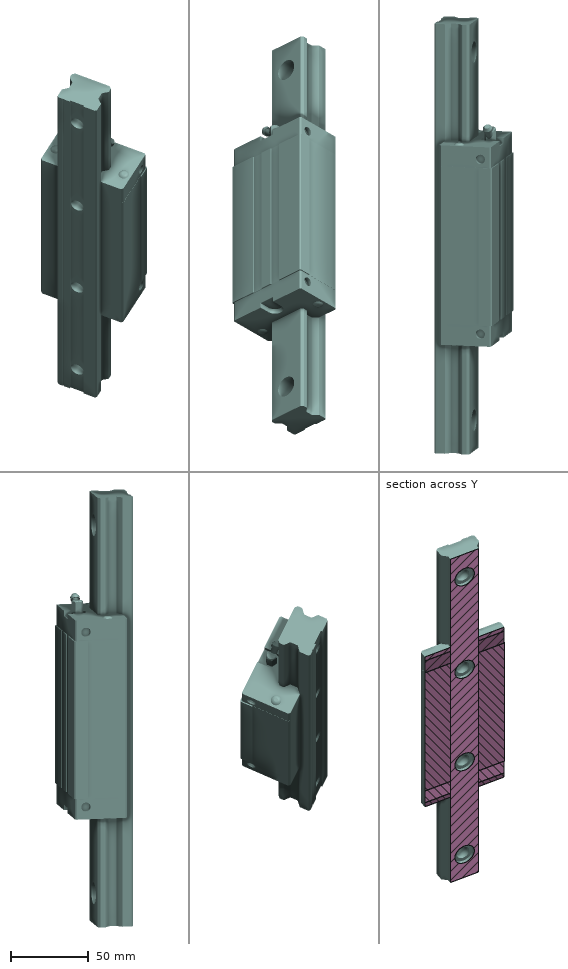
import cadquery as cq
import math

RAIL_LENGTH = 280.0
RAIL_WIDTH = 28.0
RAIL_HEIGHT = 23.0
RAIL_WAIST_WIDTH = 21.0
RAIL_SHOULDER_HEIGHT = 21.4
RAIL_TOP_WIDTH = 24.6
RACE_TOP = 18.3
WAIST_TOP = 15.4
WAIST_BOTTOM = 10.2
BASE_TOP = 7.1
BASE_CHAMFER = 1.0
FLANK_FILLET = 1.3
RELIEF_WIDTH = 9.7
RELIEF_DEPTH = 0.9
MARK_WIDTH = 1.0
MARK_DEPTH = 0.3
MARK_X = -9.5

BOLT_DIAMETER = 9.0
BOLT_HEAD_DIAMETER = 14.0
BOLT_HEAD_DEPTH = 12.0
BOLT_PITCH = 80.0
BOLT_COUNT = 4
FIRST_BOLT_Z = (RAIL_LENGTH - (BOLT_COUNT - 1) * BOLT_PITCH) / 2

CARRIAGE_Z = 138.8
CARRIAGE_LENGTH = 130.0
CARRIAGE_BOTTOM = 7.0
SEAL_THICKNESS = 3.4
CAP_THICKNESS = 10.2
BLOCK_LENGTH = CARRIAGE_LENGTH - 2 * (SEAL_THICKNESS + CAP_THICKNESS)
BLOCK_WIDTH = 60.0
BLOCK_TOP = 42.06
BLOCK_LOWER_WIDTH = 58.8
BLOCK_STEP_HEIGHT = 33.2
CORNER_CHAMFER = 0.8
BOTTOM_CHAMFER = 1.2
END_WIDTH = 58.6
END_TOP = 41.2

TOP_GROOVE_INNER_X = 4.0
TOP_GROOVE_OUTER_X = 11.2
TOP_GROOVE_DEPTH = 0.7

PORT_DIAMETER = 6.0
PORT_DEPTH = 3.0
PORT_HEIGHT = 34.3
PORT_FROM_BLOCK = 5.6

SCREW_DIAMETER = 6.7
SCREW_FLAT_DIAMETER = 2.5
SCREW_HEAD_HEIGHT = 1.1
SCREW_BULGE = 0.25
SCREW_X = 24.3
SCREW_HEIGHT = 19.1

NIPPLE_HEIGHT = 33.7
SEAL_SLOT_WIDTH = 11.0

STEM_WIDTH = 6.7
STEM_HEIGHT = 11.2
STEM_CHAMFER = 1.0
HEAD_TILT = 45.0
HEAD_DIAMETER = 6.0
NECK_DIAMETER = 4.5
TIP_DIAMETER = 3.3
NECK_LENGTH = 9.0
COLLAR_LENGTH = 2.0
TIP_LENGTH = 2.0
HEAD_BASE_Z = 4.0


def rail_body(z0, length):
    """A length of the rail's section, symmetric about X = 0, with rounded flanks."""
    half = RAIL_WIDTH / 2
    waist_half = RAIL_WAIST_WIDTH / 2
    right_side = [
        (half - BASE_CHAMFER, 0),
        (half, BASE_CHAMFER),
        (half, BASE_TOP),
        (waist_half, WAIST_BOTTOM),
        (waist_half, WAIST_TOP),
        (half, RACE_TOP),
        (half, RAIL_SHOULDER_HEIGHT),
        (RAIL_TOP_WIDTH / 2, RAIL_HEIGHT),
    ]
    left_side = [(-x, y) for x, y in reversed(right_side)]
    body = cq.Workplane("XY").polyline(right_side + left_side).close().extrude(length)
    for x, y in [(half, RACE_TOP), (waist_half, WAIST_TOP)]:
        for side in (-1, 1):
            edge = cq.selectors.NearestToPointSelector((side * x, y, length / 2))
            body = body.edges("|Z").edges(edge).fillet(FLANK_FILLET)
    return body.translate((0, 0, z0))


def box_between(x0, x1, y0, y1, z0, z1):
    return cq.Workplane("XY").box(x1 - x0, y1 - y0, z1 - z0, centered=False).translate((x0, y0, z0))


def make_rail():
    rail = rail_body(0, RAIL_LENGTH)
    relief_half = RELIEF_WIDTH / 2
    rail = rail.cut(box_between(-relief_half, relief_half, 0, RELIEF_DEPTH, 0, RAIL_LENGTH))
    mark_start = MARK_X - MARK_WIDTH / 2
    rail = rail.cut(box_between(mark_start, mark_start + MARK_WIDTH, 0, MARK_DEPTH, 0, RAIL_LENGTH))
    bolt_points = [(0, FIRST_BOLT_Z + i * BOLT_PITCH) for i in range(BOLT_COUNT)]
    holes = cq.Workplane("XZ").pushPoints(bolt_points).circle(BOLT_DIAMETER / 2).extrude(-RAIL_HEIGHT)
    head_floor = RAIL_HEIGHT - BOLT_HEAD_DEPTH
    counterbores = (
        cq.Workplane("XZ", origin=(0, head_floor, 0))
        .pushPoints(bolt_points)
        .circle(BOLT_HEAD_DIAMETER / 2)
        .extrude(-BOLT_HEAD_DEPTH)
    )
    return rail.cut(holes).cut(counterbores)


def make_block():
    z0 = CARRIAGE_Z - BLOCK_LENGTH / 2
    z1 = z0 + BLOCK_LENGTH
    lower_half = BLOCK_LOWER_WIDTH / 2
    upper_half = BLOCK_WIDTH / 2
    lower = box_between(-lower_half, lower_half, CARRIAGE_BOTTOM, BLOCK_STEP_HEIGHT, z0, z1)
    lower = lower.faces("<Y").edges("|Z").chamfer(BOTTOM_CHAMFER)
    upper = box_between(-upper_half, upper_half, BLOCK_STEP_HEIGHT, BLOCK_TOP, z0, z1)
    upper = upper.faces(">Y").edges("|Z").chamfer(CORNER_CHAMFER)
    block = lower.union(upper).cut(rail_body(z0, BLOCK_LENGTH))
    groove_floor = BLOCK_TOP - TOP_GROOVE_DEPTH
    groove = box_between(TOP_GROOVE_INNER_X, TOP_GROOVE_OUTER_X, groove_floor, BLOCK_TOP, z0, z1)
    return block.cut(groove).cut(groove.mirror("YZ"))


def end_plate(z0, thickness):
    half = END_WIDTH / 2
    plate = box_between(-half, half, CARRIAGE_BOTTOM, END_TOP, z0, z0 + thickness)
    plate = plate.faces(">Y").edges("|Z").chamfer(CORNER_CHAMFER)
    plate = plate.faces("<Y").edges("|Z").chamfer(BOTTOM_CHAMFER)
    return plate.cut(rail_body(z0, thickness))


def make_cap():
    """Upper end cap, with a port recess in each side."""
    z0 = CARRIAGE_Z + BLOCK_LENGTH / 2
    cap = end_plate(z0, CAP_THICKNESS)
    port = (
        cq.Workplane("YZ", origin=(-END_WIDTH / 2, PORT_HEIGHT, z0 + PORT_FROM_BLOCK))
        .circle(PORT_DIAMETER / 2)
        .extrude(PORT_DEPTH)
    )
    return cap.cut(port).cut(port.mirror("YZ"))


def make_screw_head():
    """Rounded head with a small flat on top, standing on Z = 0."""
    radius = SCREW_DIAMETER / 2
    flat_radius = SCREW_FLAT_DIAMETER / 2
    profile = (
        cq.Workplane("XZ")
        .lineTo(radius, 0)
        .sagittaArc((flat_radius, SCREW_HEAD_HEIGHT), -SCREW_BULGE)
        .lineTo(0, SCREW_HEAD_HEIGHT)
        .close()
    )
    return profile.revolve(360, (0, 0, 0), (0, 1, 0))


def make_seal():
    """Upper end seal with its slot and two screw heads."""
    outer_z = CARRIAGE_Z + CARRIAGE_LENGTH / 2
    inner_z = outer_z - SEAL_THICKNESS
    seal = end_plate(inner_z, SEAL_THICKNESS)
    slot_half = SEAL_SLOT_WIDTH / 2
    slot = box_between(-slot_half, slot_half, NIPPLE_HEIGHT, END_TOP, inner_z, outer_z)
    slot_end = (
        cq.Workplane("XY", origin=(0, NIPPLE_HEIGHT, inner_z)).circle(slot_half).extrude(SEAL_THICKNESS)
    )
    seal = seal.cut(slot).cut(slot_end)
    for x in (-SCREW_X, SCREW_X):
        seal = seal.union(make_screw_head().translate((x, SCREW_HEIGHT, outer_z)))
    return seal


def make_nipple():
    """Hexagonal stem standing on the upper cap, its head leaning towards +X."""
    corner_diameter = STEM_WIDTH / math.cos(math.pi / 6)
    stem = (
        cq.Workplane("XY")
        .transformed(rotate=(0, 0, 30))
        .polygon(6, corner_diameter)
        .extrude(STEM_HEIGHT)
    )
    rounding = cq.Workplane("XY").circle(corner_diameter / 2).extrude(STEM_HEIGHT)
    stem = stem.intersect(rounding.faces(">Z").chamfer(STEM_CHAMFER))
    bevel = (
        cq.Workplane("XY")
        .box(STEM_HEIGHT, STEM_HEIGHT, STEM_HEIGHT, centered=(True, True, False))
        .rotate((0, 0, 0), (0, 1, 0), HEAD_TILT)
        .translate((0, 0, STEM_HEIGHT))
    )
    neck_radius = NECK_DIAMETER / 2
    head_radius = HEAD_DIAMETER / 2
    collar_end = NECK_LENGTH + COLLAR_LENGTH
    head = (
        cq.Workplane("XZ")
        .polyline([
            (0, 0),
            (neck_radius, 0),
            (neck_radius, NECK_LENGTH),
            (head_radius, NECK_LENGTH),
            (head_radius, collar_end),
            (TIP_DIAMETER / 2, collar_end + TIP_LENGTH),
            (0, collar_end + TIP_LENGTH),
        ])
        .close()
        .revolve(360, (0, 0, 0), (0, 1, 0))
        .rotate((0, 0, 0), (0, 1, 0), HEAD_TILT)
        .translate((0, 0, HEAD_BASE_Z))
    )
    cap_face_z = CARRIAGE_Z + CARRIAGE_LENGTH / 2 - SEAL_THICKNESS
    return stem.cut(bevel).union(head).translate((0, NIPPLE_HEIGHT, cap_face_z))


def at_both_ends(upper):
    return [upper, upper.mirror("XY", (0, 0, CARRIAGE_Z))]


rail = make_rail()
block = make_block()
caps = at_both_ends(make_cap())
seals = at_both_ends(make_seal())
nipple = make_nipple()

bodies = [rail, block, *caps, *seals, nipple]
result = cq.Compound.makeCompound([body.val() for body in bodies])